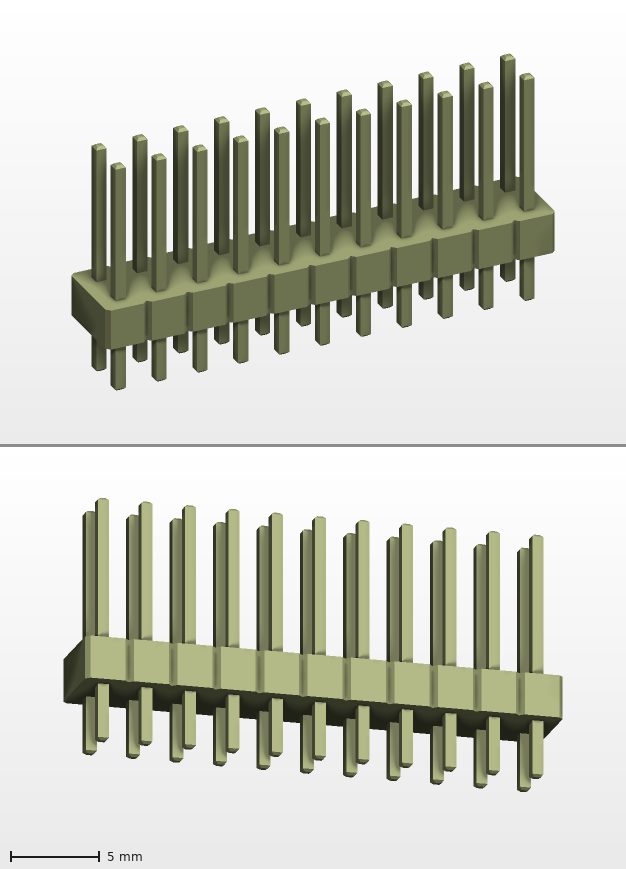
import cadquery as cq


strip_length = 27.95
segment_count = 11
pitch = strip_length / segment_count
body_width = 5.0
body_height = 2.5
corner_chamfer = 0.25

pin_columns = 2
pin_length = 14.3
pin_below_body = 3.3
pin_side = 0.65
tip_height = 0.15
tip_side = 0.34


def make_segment(y):
    """One body block; chamfered vertical edges of neighbours form the V break grooves."""
    block = cq.Workplane("XY").box(body_width, pitch, body_height, centered=(True, True, False))
    return block.edges("|Z").chamfer(corner_chamfer).translate((0, y, 0))


def make_tip(base_z, tip_z):
    """Blunt pyramid narrowing from the full pin section at base_z to the end face at tip_z."""
    return (
        cq.Workplane("XY", origin=(0, 0, base_z))
        .rect(pin_side, pin_side)
        .workplane(offset=tip_z - base_z)
        .rect(tip_side, tip_side)
        .loft(ruled=True)
    )


def make_pin():
    """Square pin with a tapered tip at both ends, running right through the body."""
    bottom = -pin_below_body
    top = bottom + pin_length
    shaft_bottom = bottom + tip_height
    shaft_top = top - tip_height
    shaft = (
        cq.Workplane("XY", origin=(0, 0, shaft_bottom))
        .rect(pin_side, pin_side)
        .extrude(shaft_top - shaft_bottom)
    )
    return shaft.union(make_tip(shaft_top, top)).union(make_tip(shaft_bottom, bottom))


def centred_places(count):
    """Positions one pitch apart, centred on zero."""
    return [(i - (count - 1) / 2) * pitch for i in range(count)]


pin = make_pin()
result = cq.Workplane("XY")
for segment_y in centred_places(segment_count):
    result = result.union(make_segment(segment_y))
    for pin_x in centred_places(pin_columns):
        result = result.union(pin.translate((pin_x, segment_y, 0)))
result = result.clean()